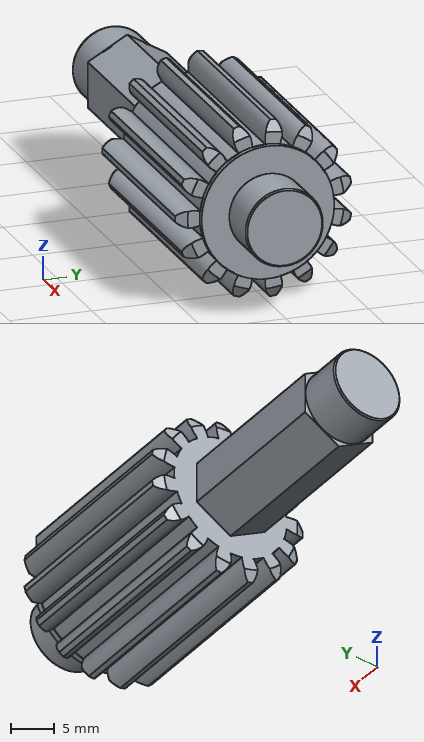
import cadquery as cq
import math

shaft_length = 58.8
left_journal_length = 5.5
hex_length = 20.9
gear_width = 26.05
collar_width = 0.7

x_left_end = -shaft_length / 2
x_hex = x_left_end + left_journal_length
x_gear = x_hex + hex_length
x_collar = x_gear + gear_width
x_right_journal = x_collar + collar_width
right_journal_length = shaft_length / 2 - x_right_journal

journal_diameter = 9.4
journal_chamfer = 0.2
hex_across_flats = 9.6
collar_diameter = 16.1

tooth_count = 15
tip_diameter = 21.6
root_diameter = 16.0
end_bevel_length = 0.7
end_bevel_depth = 1.3
first_tooth_angle = 180

root_half_width = 0.9
shoulder_half_width = 1.0
tip_half_width = 0.35
shoulder_radius = 8.7
root_overlap = 0.6


def section_at(x):
    """Workplane across the shaft at x, with local axes along +Y and +Z."""
    return cq.Workplane("YZ", origin=(x, 0, 0))


def make_cylinder(x, diameter, length):
    return section_at(x).circle(diameter / 2).extrude(length)


def make_hex():
    """Hexagonal drive section with corners pointing to +Z and -Z."""
    across_corners = hex_across_flats / math.cos(math.pi / 6)
    hexagon = section_at(x_hex).polygon(6, across_corners).extrude(hex_length)
    return hexagon.rotate((0, 0, 0), (1, 0, 0), 90)


def make_tooth():
    """One tooth pointing to +Y: half of it is drawn, then mirrored."""
    tip_radius = tip_diameter / 2
    tip_corner_y = math.sqrt(tip_radius**2 - tip_half_width**2)
    root_y = math.sqrt((root_diameter / 2) ** 2 - root_half_width**2)
    base_y = root_y - root_overlap
    half_tooth = (
        section_at(x_gear)
        .moveTo(base_y, -root_half_width)
        .lineTo(root_y, -root_half_width)
        .lineTo(shoulder_radius, -shoulder_half_width)
        .tangentArcPoint((tip_corner_y, -tip_half_width), relative=False)
        .radiusArc((tip_radius, 0), -tip_radius)
        .lineTo(base_y, 0)
        .close()
        .extrude(gear_width)
    )
    return half_tooth.union(half_tooth.mirror("XY"))


def make_gear():
    gear = make_cylinder(x_gear, root_diameter, gear_width)
    tooth = make_tooth()
    for index in range(tooth_count):
        angle = first_tooth_angle + index * 360 / tooth_count
        gear = gear.union(tooth.rotate((0, 0, 0), (1, 0, 0), angle))

    envelope = make_cylinder(x_gear, tip_diameter, gear_width)
    envelope = envelope.faces("<X or >X").chamfer(end_bevel_length, end_bevel_depth)
    return gear.intersect(envelope)


left_journal = make_cylinder(x_left_end, journal_diameter, left_journal_length)
left_journal = left_journal.faces("<X").chamfer(journal_chamfer)

right_journal = make_cylinder(x_right_journal, journal_diameter, right_journal_length)
right_journal = right_journal.faces(">X").chamfer(journal_chamfer)

collar = make_cylinder(x_collar, collar_diameter, collar_width)

result = left_journal.union(make_hex()).union(make_gear()).union(collar).union(right_journal)